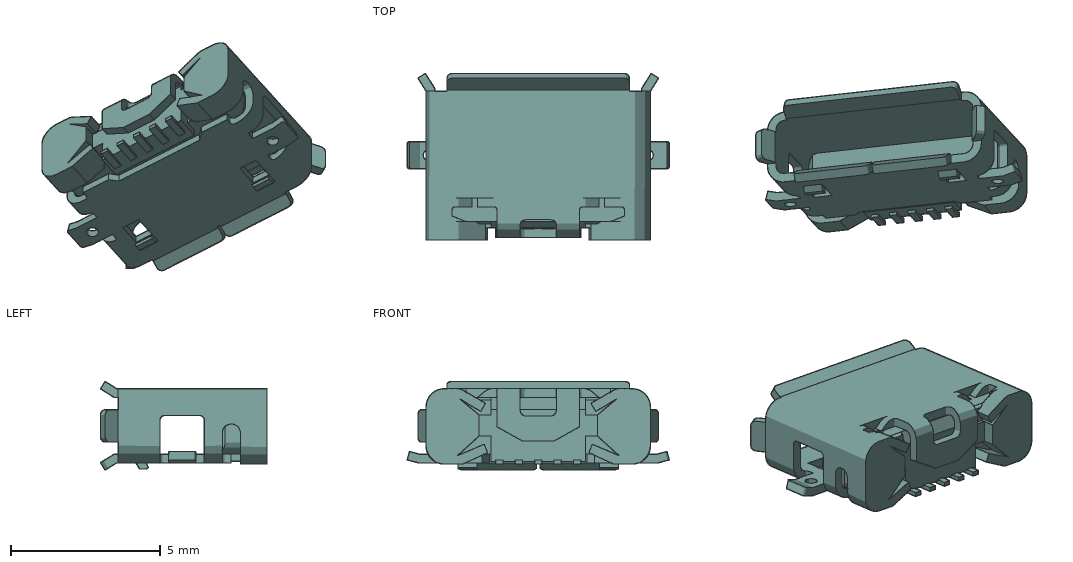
import cadquery as cq
import math


sheet = 0.3
shell_width = 7.53
shell_height = 2.5
shell_depth = 5.0
shell_radius = 0.62
half_width = shell_width / 2
flat_half_width = half_width - shell_radius
roof_underside = shell_height - sheet
overcut = 0.09

overall_depth = 5.6
lip_angle = 32.0
lip_corner = 0.19
roof_lip_rise = 0.25
floor_lip_rise = 0.24
roof_lip_width = 6.125
side_lip_rise = 0.27
side_lip_width = 1.09
floor_lip_width = 2.64
floor_lip_gap = 0.11

overall_half_width = 4.4
tab_center_y = 2.85
tab_width = 0.915
tab_rise = 0.1
tab_angle = 15.0
tab_corner = 0.09
tab_hole_diameter = 0.4
tab_hole_x = 3.65
window_width = 1.48
window_top = 1.59
window_radius = 0.15

slot_front = 0.9
slot_width = 0.61
slot_top = 1.31
slot_end_radius = 0.3
slot_reach = 0.845

cheek_thickness = 0.81
cheek_foot_depth = slot_front
cheek_drop = 0.035
cheek_foot_top = 0.7

floor_rear_edge = 1.21
floor_recess_half_width = 1.88
floor_recess_depth = 0.25
floor_corner_radius = 0.11

strip_start_x = 2.75
strip_bend_run = 0.24
strip_angle = 30.0
notch_outer_x = 2.89
notch_middle_x = 2.42
notch_rear = 0.625
notch_outer_rear = 0.81
notch_front = 1.12
notch_radius = 0.09
dimple_outer_x = 2.75
dimple_inner_x = 1.52
dimple_bend_run = 0.28
dimple_angle = 40.0
dimple_depth_y = 0.3

flap_half_width = 1.39
flap_rear = 0.09
flap_bend_radius = 0.5
flap_side_bottom = 1.22
flap_bottom = 0.74
flap_bottom_half_width = 0.53
flap_window_half_width = 0.61
flap_window_bottom = 1.58
flap_window_front = 0.69
flap_window_radius = 0.19

insulator_rear = 0.54
insulator_front = 1.62
insulator_nose_chamfer = 0.21
insulator_chamfer = 0.09
insulator_corner = 0.41
core_half_width = 1.59
core_rear = flap_rear + sheet + 0.03
core_bottom = 0.06
core_slope_bottom = 1.795
core_slope_front = 0.63
arm_half_width = 2.02
arm_bottom = 0.91
arm_top = 1.62
lower_recess_half_width = 2.73
lower_recess_front = 0.79

contact_count = 5
contact_pitch = 0.65
contact_width = 0.25
contact_bottom = -0.035
contact_top = 0.11

latch_outer_x = 2.69
latch_inner_x = 2.05
latch_slot_rear = 3.26
latch_slot_front = 4.05
latch_front = 4.4
latch_drop = 0.2


def box(x_range, y_range, z_range):
    """Axis-aligned block between pairs of limits."""
    size = [high - low for low, high in (x_range, y_range, z_range)]
    corner = (x_range[0], y_range[0], z_range[0])
    return cq.Workplane("XY").box(*size, centered=False).translate(corner)


def extrude_y(outline, start, end):
    """Extrude an outline drawn in XZ from Y = start to Y = end."""
    return outline.extrude(start - end).translate((0, start, 0))


def both_sides(solid):
    """The solid together with its mirror image across X = 0."""
    return solid.union(solid.mirror("YZ"))


def bent_strip(root, reach, rise, angle, width, corner):
    """Strip along +Y with its upper face at Z = 0, bent upward near its rounded end."""
    sine = math.sin(math.radians(angle))
    cosine = math.cos(math.radians(angle))
    bend_y = reach - rise * cosine / sine - sheet * sine
    lower_bend_y = bend_y + sheet * math.tan(math.radians(angle / 2))
    strip = (
        cq.Workplane("YZ")
        .moveTo(root, 0)
        .lineTo(bend_y, 0)
        .lineTo(reach - sheet * sine, rise)
        .lineTo(reach, rise - sheet * cosine)
        .lineTo(lower_bend_y, -sheet)
        .lineTo(root, -sheet)
        .close()
        .extrude(width / 2, both=True)
    )
    tip = strip.faces(cq.selectors.DirectionMinMaxSelector(cq.Vector(0, cosine, sine)))
    return tip.edges(cq.selectors.ParallelDirSelector(cq.Vector(0, -sine, cosine))).fillet(corner)


def rounded_tube_section(width, bottom, top, radius, start, end):
    """Rounded rectangle across X and Z, extruded along Y."""
    blank = box((-width / 2, width / 2), (start, end), (bottom, top))
    return blank.edges("|Y").fillet(radius)


def make_shell_tube():
    outer = rounded_tube_section(shell_width, 0, shell_height, shell_radius, 0, shell_depth)
    cavity = rounded_tube_section(
        shell_width - 2 * sheet, sheet, roof_underside, shell_radius - sheet,
        -overcut, shell_depth + overcut,
    )
    return outer.cut(cavity)


def make_lips():
    root = shell_depth - overcut
    roof_lip = bent_strip(root, overall_depth, roof_lip_rise, lip_angle, roof_lip_width, lip_corner)
    side_lip = bent_strip(root, overall_depth, side_lip_rise, lip_angle, side_lip_width, lip_corner)
    floor_lip = bent_strip(root, overall_depth, floor_lip_rise, lip_angle, floor_lip_width, lip_corner)
    origin = (0, 0, 0)
    y_axis = (0, 1, 0)
    right_lip = side_lip.rotate(origin, y_axis, 90).translate((half_width, 0, shell_height / 2))
    floor_lip_x = (floor_lip_width + floor_lip_gap) / 2
    right_floor_lip = floor_lip.rotate(origin, y_axis, 180).translate((floor_lip_x, 0, 0))
    return (
        roof_lip.translate((0, 0, shell_height))
        .union(both_sides(right_lip))
        .union(both_sides(right_floor_lip))
    )


def make_side_cuts():
    """Window around each solder tab and round-topped slot behind it, open through the floor bend."""
    window = box(
        (flat_half_width, half_width + overcut),
        (tab_center_y - window_width / 2, tab_center_y + window_width / 2),
        (-overcut, window_top),
    ).edges("|X and >Z").fillet(window_radius).edges("|Z and <X").fillet(floor_corner_radius)
    slot = box(
        (half_width - slot_reach, half_width + overcut),
        (slot_front, slot_front + slot_width),
        (-overcut, slot_top),
    ).edges("|X and >Z").fillet(slot_end_radius).edges("|Z and <X").fillet(floor_corner_radius)
    return both_sides(window.union(slot))


def make_floor_cuts():
    """Open floor behind its rear edge, a tapered recess in that edge, and a slot behind each latch."""
    rear_cut = (
        cq.Workplane("XY", origin=(0, 0, -overcut))
        .moveTo(-flat_half_width, -overcut)
        .lineTo(flat_half_width, -overcut)
        .lineTo(flat_half_width, floor_rear_edge)
        .lineTo(floor_recess_half_width, floor_rear_edge)
        .lineTo(floor_recess_half_width - floor_recess_depth, floor_rear_edge + floor_recess_depth)
        .lineTo(floor_recess_depth - floor_recess_half_width, floor_rear_edge + floor_recess_depth)
        .lineTo(-floor_recess_half_width, floor_rear_edge)
        .lineTo(-flat_half_width, floor_rear_edge)
        .close()
        .extrude(sheet + overcut)
    )
    latch_slot = box(
        (latch_inner_x, latch_outer_x),
        (latch_slot_rear, latch_slot_front),
        (-overcut, sheet + overcut),
    )
    return rear_cut.union(both_sides(latch_slot))


def make_solder_tabs():
    strip = bent_strip(
        flat_half_width - sheet, overall_half_width, tab_rise, tab_angle, tab_width, tab_corner
    )
    tab = strip.rotate((0, 0, 0), (0, 0, 1), -90).translate((0, tab_center_y, sheet))
    hole = cq.Workplane("XY").center(tab_hole_x, tab_center_y).circle(tab_hole_diameter / 2)
    return both_sides(tab.cut(hole.extrude(sheet)))


def make_roof_cuts():
    """Rear edge between the cheeks, and the notch in front of each bent strip."""
    rear_cut = box(
        (-strip_start_x, strip_start_x),
        (-overcut, notch_rear),
        (roof_underside, shell_height + overcut),
    )
    notch = (
        cq.Workplane("XY", origin=(0, 0, roof_underside))
        .moveTo(flap_half_width, notch_rear)
        .lineTo(flap_half_width, notch_front)
        .lineTo(notch_outer_x, notch_front)
        .lineTo(notch_outer_x, notch_outer_rear)
        .lineTo(notch_middle_x, notch_rear)
        .close()
        .extrude(sheet + overcut)
        .edges("|Z and >Y")
        .fillet(notch_radius)
    )
    return rear_cut, both_sides(notch)


def make_dimples():
    """Valley pressed into the roof in front of each notch."""
    bend_drop = dimple_bend_run * math.tan(math.radians(dimple_angle / 2))
    bend_z = shell_height - bend_drop
    slope_run = (bend_z - roof_underside) / math.tan(math.radians(dimple_angle))
    bend_x = dimple_outer_x - dimple_bend_run
    center_x = (dimple_outer_x + dimple_inner_x) / 2
    half_outline = (
        cq.Workplane("XZ")
        .moveTo(center_x, roof_underside)
        .lineTo(bend_x - slope_run, roof_underside)
        .lineTo(bend_x, bend_z)
        .tangentArcPoint((dimple_outer_x, shell_height), relative=False)
        .lineTo(center_x, shell_height)
        .close()
    )
    half_valley = extrude_y(half_outline, notch_front, notch_front + dimple_depth_y)
    return both_sides(half_valley.union(half_valley.mirror("YZ", (center_x, 0, 0))))


def make_cheeks():
    """Rear end plates; slits separate each plate from the strips bent in above and below it."""
    arc_offset = shell_radius * (1 - math.sqrt(0.5))
    strip_bend_drop = strip_bend_run * math.tan(math.radians(strip_angle / 2))
    outline = (
        cq.Workplane("XZ")
        .moveTo(flat_half_width, shell_height)
        .lineTo(strip_start_x, shell_height)
        .tangentArcPoint((-strip_bend_run, -strip_bend_drop))
        .lineTo(1.77, 2.01)
        .lineTo(1.93, 1.73)
        .lineTo(2.63, 2.16)
        .lineTo(1.99, arm_top)
        .lineTo(1.99, arm_bottom)
        .lineTo(2.7, 0.255)
        .lineTo(1.81, 0.63)
        .lineTo(1.7, 0.35)
        .lineTo(2.53, -cheek_drop)
        .lineTo(flat_half_width, -cheek_drop)
        .threePointArc(
            (half_width - arc_offset, arc_offset - cheek_drop),
            (half_width, shell_radius - cheek_drop),
        )
        .lineTo(half_width, shell_height - shell_radius)
        .threePointArc(
            (half_width - arc_offset, shell_height - arc_offset),
            (flat_half_width, shell_height),
        )
        .close()
    )
    cheek = extrude_y(outline, 0, cheek_foot_depth)
    upper_relief = box(
        (0, half_width), (cheek_thickness, cheek_foot_depth), (cheek_foot_top, shell_height)
    )
    return both_sides(cheek.cut(upper_relief))


def make_flap():
    """Tongue of the roof folded down over the rear, with a window across the fold."""
    inner_radius = flap_bend_radius - sheet
    fold_y = flap_rear + flap_bend_radius
    fold_z = shell_height - flap_bend_radius
    diagonal = math.sqrt(0.5)
    fold = (
        cq.Workplane("YZ")
        .moveTo(notch_rear, shell_height)
        .lineTo(fold_y, shell_height)
        .threePointArc(
            (fold_y - flap_bend_radius * diagonal, fold_z + flap_bend_radius * diagonal),
            (flap_rear, fold_z),
        )
        .lineTo(flap_rear, flap_bottom)
        .lineTo(flap_rear + sheet, flap_bottom)
        .lineTo(flap_rear + sheet, fold_z)
        .threePointArc(
            (fold_y - inner_radius * diagonal, fold_z + inner_radius * diagonal),
            (fold_y, roof_underside),
        )
        .lineTo(notch_rear, roof_underside)
        .close()
        .extrude(flap_half_width, both=True)
    )
    plan = (
        cq.Workplane("XZ")
        .moveTo(-flap_half_width, shell_height)
        .lineTo(flap_half_width, shell_height)
        .lineTo(flap_half_width, flap_side_bottom)
        .lineTo(flap_bottom_half_width, flap_bottom)
        .lineTo(-flap_bottom_half_width, flap_bottom)
        .lineTo(-flap_half_width, flap_side_bottom)
        .close()
    )
    return fold.intersect(extrude_y(plan, 0, notch_rear))


def make_flap_window():
    return (
        box(
            (-flap_window_half_width, flap_window_half_width),
            (0, flap_window_front),
            (flap_window_bottom, shell_height + overcut),
        )
        .edges("(|Z and >Y) or (|Y and <Z)")
        .fillet(flap_window_radius)
    )


def make_insulator():
    body = box(
        (sheet - half_width, half_width - sheet),
        (insulator_rear, insulator_front),
        (sheet, roof_underside),
    )
    body = body.edges("|Z and >Y").chamfer(insulator_nose_chamfer)
    body = body.edges("|Y").fillet(insulator_corner)
    body = body.faces("<Y").edges(">Z").chamfer(insulator_chamfer)
    core = (
        cq.Workplane("YZ")
        .moveTo(core_rear, core_bottom)
        .lineTo(core_rear, core_slope_bottom)
        .lineTo(core_slope_front, roof_underside)
        .lineTo(floor_rear_edge, roof_underside)
        .lineTo(floor_rear_edge, core_bottom)
        .close()
        .extrude(core_half_width, both=True)
    )
    arms = box((-arm_half_width, arm_half_width), (core_rear, insulator_front), (arm_bottom, arm_top))
    core_clearance = box(
        (-core_half_width, core_half_width),
        (insulator_rear, core_slope_front),
        (core_bottom, roof_underside),
    )
    lower_recess = box(
        (-lower_recess_half_width, lower_recess_half_width),
        (insulator_rear, lower_recess_front),
        (sheet, arm_bottom),
    )
    body = body.cut(core_clearance).cut(lower_recess)
    return body.union(core).union(arms)


def make_contacts():
    contacts = cq.Workplane("XY")
    for index in range(contact_count):
        center_x = (index - (contact_count - 1) / 2) * contact_pitch
        contacts = contacts.union(box(
            (center_x - contact_width / 2, center_x + contact_width / 2),
            (flap_rear, slot_front),
            (contact_bottom, contact_top),
        ))
    return contacts


def make_latches():
    """Small barbs hanging below the floor near the opening."""
    profile = (
        cq.Workplane("YZ", origin=(latch_inner_x, 0, 0))
        .moveTo(latch_front, sheet / 2)
        .lineTo(latch_front, 0)
        .lineTo(4.28, -latch_drop)
        .lineTo(4.06, -latch_drop)
        .lineTo(3.99, -0.15)
        .lineTo(latch_slot_front, 0)
        .lineTo(latch_slot_front, sheet / 2)
        .close()
    )
    return both_sides(profile.extrude(latch_outer_x - latch_inner_x))


roof_rear_cut, roof_notches = make_roof_cuts()

shell = make_shell_tube().cut(make_floor_cuts()).cut(make_side_cuts()).cut(roof_rear_cut)
shell = shell.union(make_cheeks()).cut(roof_notches).union(make_flap()).cut(make_flap_window())
shell = shell.union(make_lips()).union(make_solder_tabs()).union(make_latches())

result = shell.union(make_insulator()).cut(make_dimples()).union(make_contacts())